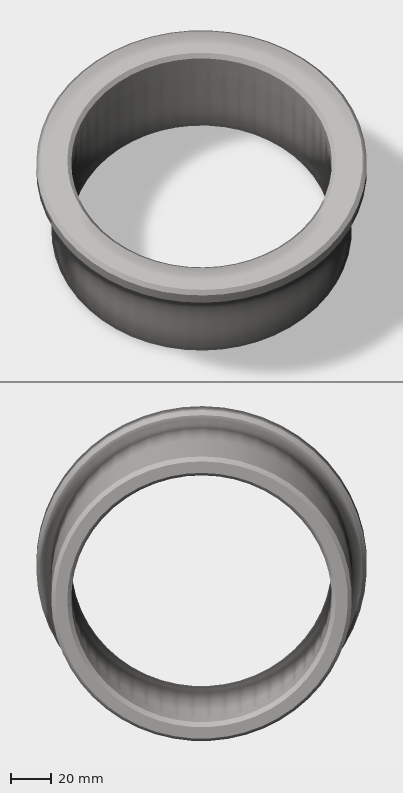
import cadquery as cq

flange_diameter = 165.0
body_diameter = 150.0
bore_diameter = 130.0
height = 60.0
flange_thickness = 10.0
chamfer = 2.0
neck_fillet = 3.5

groove_radius = 1.6
groove_length = 50.0

flange_radius = flange_diameter / 2
body_radius = body_diameter / 2
bore_radius = bore_diameter / 2
flange_bottom = height - flange_thickness


def flanged_sleeve():
    """Revolve the half section: body, neck fillet and chamfered flange."""
    section = (
        cq.Workplane("XZ")
        .moveTo(bore_radius + chamfer, 0)
        .lineTo(body_radius - chamfer, 0)
        .lineTo(body_radius, chamfer)
        .lineTo(body_radius, flange_bottom - neck_fillet)
        .radiusArc((body_radius + neck_fillet, flange_bottom), neck_fillet)
        .lineTo(flange_radius - chamfer, flange_bottom)
        .lineTo(flange_radius, flange_bottom + chamfer)
        .lineTo(flange_radius, height - chamfer)
        .lineTo(flange_radius - chamfer, height)
        .lineTo(bore_radius + chamfer, height)
        .lineTo(bore_radius, height - chamfer)
        .lineTo(bore_radius, chamfer)
        .close()
    )
    return section.revolve(360, (0, 0, 0), (0, 1, 0))


def bore_groove():
    """Upright ball-ended bar on the bore wall, half sunk into it at mid-height."""
    groove_bottom = (height - groove_length) / 2
    groove_top = groove_bottom + groove_length
    return (
        cq.Workplane("XZ", origin=(bore_radius, 0, 0))
        .moveTo(0, groove_bottom)
        .radiusArc((groove_radius, groove_bottom + groove_radius), -groove_radius)
        .lineTo(groove_radius, groove_top - groove_radius)
        .radiusArc((0, groove_top), -groove_radius)
        .close()
        .revolve(360, (0, 0, 0), (0, 1, 0))
    )


result = flanged_sleeve().cut(bore_groove())